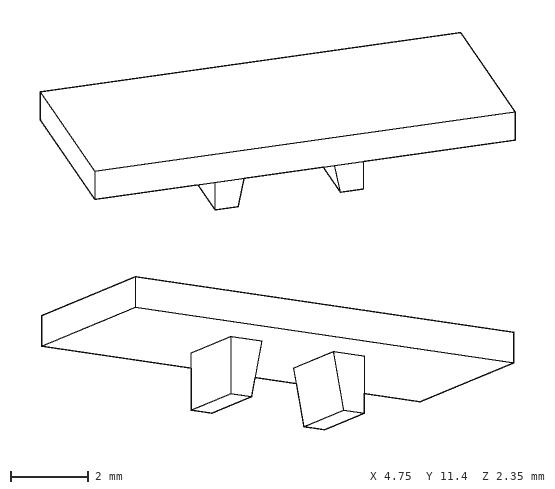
import cadquery as cq

plate_width = 4.75
plate_length = 11.4
total_height = 2.35
plate_thickness = 0.82

leg_height = total_height - plate_thickness
leg_width = 2.02
leg_span = 4.02
leg_root = 0.93
leg_tip = 0.63


def make_leg(side):
    """Leg with an upright outer face and a sloping inner face; side is +1 or -1 along Y."""
    outer = leg_span / 2
    profile = [
        (side * outer, 0),
        (side * (outer - leg_root), 0),
        (side * (outer - leg_tip), -leg_height),
        (side * outer, -leg_height),
    ]
    return cq.Workplane("YZ").polyline(profile).close().extrude(leg_width / 2, both=True)


result = cq.Workplane("XY").box(
    plate_width, plate_length, plate_thickness, centered=(True, True, False)
)
for side in (-1, 1):
    result = result.union(make_leg(side))